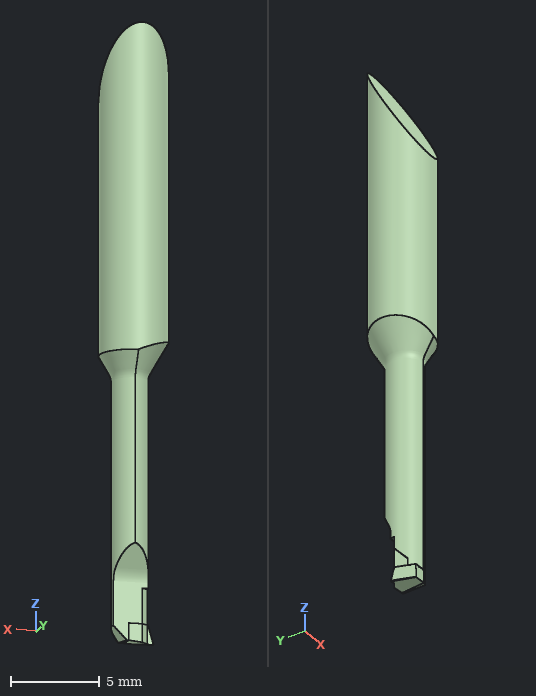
import cadquery as cq
import math

length = 35.7
shank_diameter = 4.0
shank_radius = shank_diameter / 2
slant_angle = math.radians(30)
slant_drop = shank_diameter / math.tan(slant_angle)

neck_radius = 1.3
neck_offset = 0.45
neck_top = 15.2
taper_angle = math.radians(30)
taper_fillet = 0.9

face_y = 0.3
gullet_top = 5.65
gullet_angle = math.radians(30)
gullet_fillet = 1.43

base_rake_z = 0.15
base_heel_z = 0.3
corner_x = 0.5
corner_z = 0.18

groove_top = 3.2
groove_edge_x = neck_offset - neck_radius
groove_root_x = -0.43

clearance_top = 2.43
clearance_heel_y = -0.75
clearance_heel_z = 1.6
clearance_heel_x = neck_offset - math.sqrt(neck_radius**2 - clearance_heel_y**2)

tip_top = 1.15
tip_root_x = 0.35
tip_heel_y = -1.2
tip_outline = [(-1.18, 0.055), (-1.15, 0.0), (tip_root_x, 0.15), (tip_root_x, tip_top), (-0.85, tip_top)]
heel_outline = [(-0.41, 0.3), (-0.4, 0.25), (tip_root_x, 0.3), (tip_root_x, tip_top), (-0.43, tip_top)]

reach = 2 * shank_diameter


def tapered_bar(center_x):
    """Round neck bar that flares through a fillet into a cone wider than the shank."""
    cone_start_radius = neck_radius + taper_fillet * (1 - math.cos(taper_angle))
    cone_start_z = neck_top + taper_fillet * math.sin(taper_angle)
    fillet_mid_radius = neck_radius + taper_fillet * (1 - math.cos(taper_angle / 2))
    fillet_mid_z = neck_top + taper_fillet * math.sin(taper_angle / 2)
    cone_end_radius = shank_diameter
    cone_end_z = cone_start_z + (cone_end_radius - cone_start_radius) / math.tan(taper_angle)
    return (
        cq.Workplane("XZ")
        .lineTo(neck_radius, 0)
        .lineTo(neck_radius, neck_top)
        .threePointArc((fillet_mid_radius, fillet_mid_z), (cone_start_radius, cone_start_z))
        .lineTo(cone_end_radius, cone_end_z)
        .lineTo(cone_end_radius, length)
        .lineTo(0, length)
        .close()
        .revolve(360, (0, 0, 0), (0, 1, 0))
        .translate((center_x, 0, 0))
    )


def side_prism(points):
    """Prism along X from an outline in Y and Z."""
    return cq.Workplane("YZ").polyline(points).close().extrude(reach, both=True)


def slanted_face():
    return side_prism(
        [
            (shank_radius, length),
            (-shank_radius, length - slant_drop),
            (-reach, length - slant_drop),
            (-reach, length),
        ]
    )


def gullet():
    slope_end_z = gullet_top - (neck_radius - face_y) / math.tan(gullet_angle)
    tangent = gullet_fillet * math.tan(gullet_angle / 2)
    arc_center_y = face_y + gullet_fillet
    arc_bottom_z = slope_end_z - tangent
    arc_mid = (
        arc_center_y - gullet_fillet * math.cos(gullet_angle / 2),
        arc_bottom_z + gullet_fillet * math.sin(gullet_angle / 2),
    )
    arc_end = (
        arc_center_y - gullet_fillet * math.cos(gullet_angle),
        arc_bottom_z + gullet_fillet * math.sin(gullet_angle),
    )
    mouth_y = 2 * neck_radius
    mouth_z = gullet_top + (mouth_y - neck_radius) / math.tan(gullet_angle)
    return (
        cq.Workplane("YZ")
        .moveTo(face_y, -reach)
        .lineTo(face_y, arc_bottom_z)
        .threePointArc(arc_mid, arc_end)
        .lineTo(mouth_y, mouth_z)
        .lineTo(mouth_y, -reach)
        .close()
        .extrude(reach, both=True)
    )


def base_relief():
    """Slopes the lower end of the neck up towards -Y."""
    return side_prism(
        [(face_y, base_rake_z), (-neck_radius, base_heel_z), (-neck_radius, -reach), (face_y, -reach)]
    )


def corner_chamfer():
    """45 degree bevel on the lower +X corner of the neck."""
    corner = [
        (corner_x - reach, corner_z - reach),
        (corner_x + reach, corner_z + reach),
        (corner_x + reach, corner_z - reach),
    ]
    return cq.Workplane("XZ").polyline(corner).close().extrude(reach, both=True)


def chip_groove():
    groove = [(-reach, 0), (groove_edge_x, 0), (groove_root_x, face_y), (-reach, face_y)]
    return cq.Workplane("XY").polyline(groove).close().extrude(groove_top)


def flank_clearance():
    zone = side_prism(
        [
            (0, clearance_top),
            (clearance_heel_y, clearance_heel_z),
            (clearance_heel_y, tip_top),
            (0, tip_top),
        ]
    )
    plan = [
        (groove_edge_x, 0),
        (clearance_heel_x, clearance_heel_y),
        (-reach, clearance_heel_y),
        (-reach, 0),
    ]
    return zone.intersect(cq.Workplane("XY").polyline(plan).close().extrude(reach))


def tip_blank():
    """Cutting tip before the chip groove: straight above Y = 0, relieved towards its heel."""
    relieved = (
        cq.Workplane("XZ")
        .polyline(tip_outline)
        .close()
        .workplane(offset=-tip_heel_y)
        .polyline(heel_outline)
        .close()
        .loft(ruled=True)
    )
    straight = cq.Workplane("XZ").polyline(tip_outline).close().extrude(-face_y)
    return relieved.union(straight)


def tip_seat():
    """Square step in the lower -X end of the neck that the tip fills."""
    seat = [(-reach, -reach), (tip_root_x, -reach), (tip_root_x, tip_top), (-reach, tip_top)]
    return cq.Workplane("XZ").polyline(seat).close().extrude(reach, both=True)


def make_holder():
    bar = cq.Workplane("XY").circle(shank_radius).extrude(length)
    bar = bar.intersect(tapered_bar(0)).intersect(tapered_bar(neck_offset))
    cutters = [
        slanted_face(),
        gullet(),
        base_relief(),
        corner_chamfer(),
        chip_groove(),
        flank_clearance(),
        tip_seat(),
    ]
    for cutter in cutters:
        bar = bar.cut(cutter)
    return bar


def make_cutting_tip():
    return tip_blank().cut(chip_groove())


holder = make_holder()
cutting_tip = make_cutting_tip()

result = cq.Compound.makeCompound([holder.val(), cutting_tip.val()])